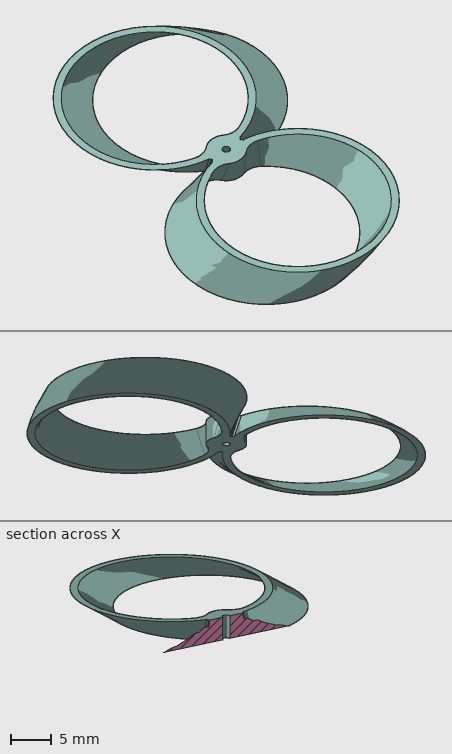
import cadquery as cq
import math

height = 3.0
twist_angle = 21.6
ring_outer_radius = 12.5
wall = 1.0
hub_radius = 2.5
bore_diameter = 1.0
root_fillet = 2.5
notch_fillet = 0.25

ring_offset = ring_outer_radius
ring_inner_radius = ring_outer_radius - wall


def circle_meeting(hub_circle, ring_circle):
    """Upper crossing of a circle on the hub axis with one on the +X ring axis."""
    x = (hub_circle**2 - ring_circle**2 + ring_offset**2) / (2 * ring_offset)
    return x, math.sqrt(hub_circle**2 - x**2)


def outer_outline():
    """Two ring rims joined by short hub arcs, with filleted corners in both notches."""
    fillet_x, fillet_y = circle_meeting(hub_radius + notch_fillet, ring_outer_radius + notch_fillet)

    hub_share = hub_radius / (hub_radius + notch_fillet)
    hub_x, hub_y = fillet_x * hub_share, fillet_y * hub_share
    rim_share = ring_outer_radius / (ring_outer_radius + notch_fillet)
    rim_x = ring_offset + (fillet_x - ring_offset) * rim_share
    rim_y = fillet_y * rim_share
    tip = ring_offset + ring_outer_radius

    chord_x = (hub_x + rim_x) / 2 - fillet_x
    chord_y = (hub_y + rim_y) / 2 - fillet_y
    reach = notch_fillet / math.hypot(chord_x, chord_y)
    mid_x = fillet_x + chord_x * reach
    mid_y = fillet_y + chord_y * reach

    return (
        cq.Workplane("XY")
        .moveTo(rim_x, -rim_y)
        .threePointArc((tip, 0), (rim_x, rim_y))
        .threePointArc((mid_x, mid_y), (hub_x, hub_y))
        .threePointArc((0, hub_radius), (-hub_x, hub_y))
        .threePointArc((-mid_x, mid_y), (-rim_x, rim_y))
        .threePointArc((-tip, 0), (-rim_x, -rim_y))
        .threePointArc((-mid_x, -mid_y), (-hub_x, -hub_y))
        .threePointArc((0, -hub_radius), (hub_x, -hub_y))
        .threePointArc((mid_x, -mid_y), (rim_x, -rim_y))
        .close()
    )


def ring_opening(side):
    """Opening of one ring; side is +1 or -1 along X."""
    fillet_x, fillet_y = circle_meeting(hub_radius + root_fillet, ring_inner_radius - root_fillet)

    hub_share = hub_radius / (hub_radius + root_fillet)
    hub_x, hub_y = fillet_x * hub_share, fillet_y * hub_share
    ring_scale = ring_inner_radius / (ring_inner_radius - root_fillet)
    wall_x = ring_offset + (fillet_x - ring_offset) * ring_scale
    wall_y = fillet_y * ring_scale
    neck_x = fillet_x - root_fillet

    return (
        cq.Workplane("XY")
        .moveTo(side * wall_x, -wall_y)
        .threePointArc((side * (ring_offset + ring_inner_radius), 0), (side * wall_x, wall_y))
        .threePointArc((side * neck_x, fillet_y), (side * hub_x, hub_y))
        .threePointArc((side * hub_radius, 0), (side * hub_x, -hub_y))
        .threePointArc((side * neck_x, -fillet_y), (side * wall_x, -wall_y))
        .close()
    )


def twisted(profile):
    """Extrude with the twist, then turn so the top face lines up with the X axis."""
    solid = profile.twistExtrude(height, twist_angle)
    return solid.rotate((0, 0, 0), (0, 0, 1), -twist_angle)


result = twisted(outer_outline())
for side in (-1, 1):
    result = result.cut(twisted(ring_opening(side)))

bore = cq.Workplane("XY").circle(bore_diameter / 2).extrude(height)
result = result.cut(bore)